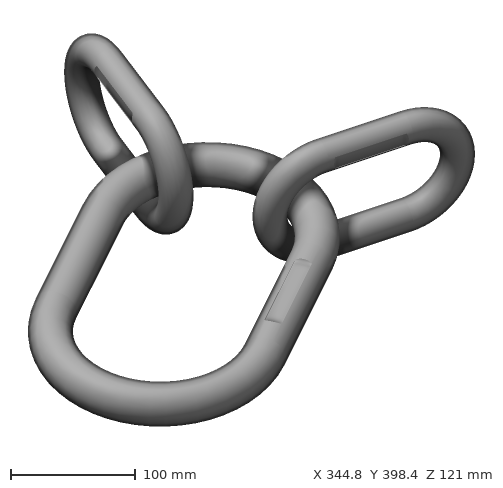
import cadquery as cq
import math

MASTER_BAR = 36.0
MASTER_INNER_LENGTH = 260.0
MASTER_INNER_WIDTH = 140.0

SUB_BAR = 28.0
SUB_INNER_LENGTH = 140.0
SUB_INNER_WIDTH = 65.0
SUB_SPREAD = 45.0

MASTER_BEND_CENTRE_Y = (MASTER_INNER_LENGTH - MASTER_INNER_WIDTH) / 2
SUB_DISTANCE = MASTER_INNER_WIDTH / 2 + SUB_INNER_LENGTH / 2

MASTER_RECESS_FLOOR = 70.0
MASTER_RECESS_WIDTH = 14.5
MASTER_RECESS_DEPTH = 2.5
SUB_RECESS_FLOOR = 58.0
SUB_RECESS_WIDTH = 12.0
SUB_RECESS_DEPTH = 2.0
RECESS_END_RADIUS = 6.0


def oval_link(bar, inner_length, inner_width):
    """Round-bar oval centred on the origin, long axis along X, lying in the XY plane."""
    bend_radius = (inner_width + bar) / 2
    half_straight = (inner_length - inner_width) / 2
    path = (
        cq.Workplane("XY")
        .moveTo(-half_straight, -bend_radius)
        .lineTo(half_straight, -bend_radius)
        .threePointArc((half_straight + bend_radius, 0), (half_straight, bend_radius))
        .lineTo(-half_straight, bend_radius)
        .threePointArc((-half_straight - bend_radius, 0), (-half_straight, -bend_radius))
        .close()
    )
    section = cq.Workplane("YZ", origin=(-half_straight, -bend_radius, 0)).circle(bar / 2)
    return section.sweep(path)


def marking_recess(bar, inner_width, floor_length, width, depth):
    """Cutter for the recess on top of the -Y leg; its two lower end edges are rounded."""
    leg_y = -(inner_width + bar) / 2
    length = floor_length + 2 * RECESS_END_RADIUS
    floor_z = bar / 2 - depth
    cutter = cq.Workplane("XY", origin=(0, leg_y, floor_z)).rect(length, width).extrude(bar / 2)
    return cutter.edges("<Z and |Y").fillet(RECESS_END_RADIUS)


def marked_link(bar, inner_length, inner_width, recess_floor, recess_width, recess_depth):
    link = oval_link(bar, inner_length, inner_width)
    return link.cut(marking_recess(bar, inner_width, recess_floor, recess_width, recess_depth))


def make_master_link():
    """Master link turned so its long axis is Y and its recess is on the +X leg, facing up."""
    link = marked_link(
        MASTER_BAR, MASTER_INNER_LENGTH, MASTER_INNER_WIDTH,
        MASTER_RECESS_FLOOR, MASTER_RECESS_WIDTH, MASTER_RECESS_DEPTH,
    )
    return link.rotate((0, 0, 0), (0, 0, 1), 90)


def make_sub_link(side):
    """Sub link standing on edge, its end resting against the inside of the master link's bend.

    Side is -1 for the link hung towards -X and 1 for the one hung towards +X.
    """
    link = marked_link(
        SUB_BAR, SUB_INNER_LENGTH, SUB_INNER_WIDTH,
        SUB_RECESS_FLOOR, SUB_RECESS_WIDTH, SUB_RECESS_DEPTH,
    )
    link = link.rotate((0, 0, 0), (1, 0, 0), -90)
    link = link.rotate((0, 0, 0), (0, 0, 1), -side * (90 + SUB_SPREAD))
    spread = math.radians(SUB_SPREAD)
    return link.translate((
        side * SUB_DISTANCE * math.sin(spread),
        MASTER_BEND_CENTRE_Y + SUB_DISTANCE * math.cos(spread),
        0,
    ))


master_link = make_master_link()
sub_links = [make_sub_link(side) for side in (-1, 1)]

result = cq.Compound.makeCompound([master_link.val(), *[link.val() for link in sub_links]])